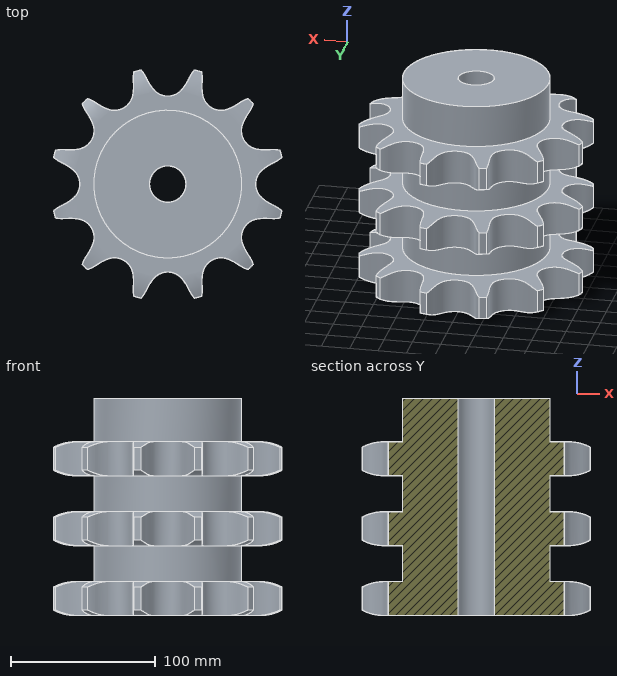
import cadquery as cq
import math


tooth_count = 12
pitch_diameter = 147.2
roller_diameter = 25.4
tip_diameter = 162.0
tip_radius = tip_diameter / 2
row_count = 3
row_spacing = 48.3
tooth_width = 23.7

flat_face_radius = 64.2
side_rounding_radius = 38.2

hub_diameter = 102.0
bore_diameter = 25.0
overall_height = 150.0

seating_ratio = 1.005
working_ratio = 1.3025
working_offset_ratio = 0.8
topping_offset_ratio = 1.4

seating_half_angle = math.radians(55 - 60 / tooth_count)
working_angle = math.radians(18 - 56 / tooth_count)
topping_offset_angle = math.radians(17 - 64 / tooth_count)
topping_angle = math.radians(30)

pitch_radius = pitch_diameter / 2
seating_radius = seating_ratio * roller_diameter / 2
working_radius = working_ratio * roller_diameter
straight_length = roller_diameter * (
    topping_offset_ratio * math.sin(topping_offset_angle)
    - working_offset_ratio * math.sin(working_angle)
)
topping_radius = roller_diameter * (
    working_offset_ratio * math.cos(working_angle)
    + topping_offset_ratio * math.cos(topping_offset_angle)
    - working_ratio
)


def step(point, length, heading):
    """Point reached from a start point along a heading measured from the Y axis."""
    return (point[0] + length * math.sin(heading), point[1] + length * math.cos(heading))


def arc_points(start, radius, heading, turn):
    """Middle and end of an arc that leaves start along heading and turns by a signed angle."""
    middle = step(start, 2 * radius * math.sin(abs(turn) / 4), heading + turn / 4)
    end = step(start, 2 * radius * math.sin(abs(turn) / 2), heading + turn / 2)
    return middle, end


def mirrored(point):
    """Matching point on the other side of the X axis."""
    return (point[0], -point[1])


def make_gap_cutter():
    """Prism that cuts one tooth gap, centred on the +X axis."""
    root = (pitch_radius - seating_radius, 0)
    heading = 0
    seating_middle, seating_end = arc_points(root, seating_radius, heading, seating_half_angle)
    heading += seating_half_angle
    working_middle, working_end = arc_points(seating_end, working_radius, heading, working_angle)
    heading += working_angle
    straight_end = step(working_end, straight_length, heading)
    topping_middle, topping_end = arc_points(straight_end, topping_radius, heading, -topping_angle)

    return (
        cq.Workplane("XY")
        .moveTo(*root)
        .threePointArc(seating_middle, seating_end)
        .threePointArc(working_middle, working_end)
        .lineTo(*straight_end)
        .threePointArc(topping_middle, topping_end)
        .lineTo(*mirrored(topping_end))
        .threePointArc(mirrored(topping_middle), mirrored(straight_end))
        .lineTo(*mirrored(working_end))
        .threePointArc(mirrored(working_middle), mirrored(seating_end))
        .threePointArc(mirrored(seating_middle), root)
        .close()
        .extrude(tooth_width)
    )


def make_tooth_ring():
    """One toothed disc standing on Z = 0."""

    def side_drop(radius):
        """Axial distance from the flat face to the rounded side."""
        reach = radius - flat_face_radius
        return side_rounding_radius - math.sqrt(side_rounding_radius**2 - reach**2)

    middle_radius = (flat_face_radius + tip_radius) / 2
    middle_drop = side_drop(middle_radius)
    tip_drop = side_drop(tip_radius)
    ring = (
        cq.Workplane("XZ")
        .lineTo(flat_face_radius, 0)
        .threePointArc((middle_radius, middle_drop), (tip_radius, tip_drop))
        .lineTo(tip_radius, tooth_width - tip_drop)
        .threePointArc((middle_radius, tooth_width - middle_drop), (flat_face_radius, tooth_width))
        .lineTo(0, tooth_width)
        .close()
        .revolve(360, (0, 0, 0), (0, 1, 0))
    )
    gap_cutter = make_gap_cutter()
    for index in range(tooth_count):
        angle = index * 360 / tooth_count
        ring = ring.cut(gap_cutter.rotate((0, 0, 0), (0, 0, 1), angle))
    return ring


result = cq.Workplane("XY").circle(hub_diameter / 2).extrude(overall_height)
tooth_ring = make_tooth_ring()
for row in range(row_count):
    result = result.union(tooth_ring.translate((0, 0, row * row_spacing)))
bore = cq.Workplane("XY").circle(bore_diameter / 2).extrude(overall_height)
result = result.cut(bore)